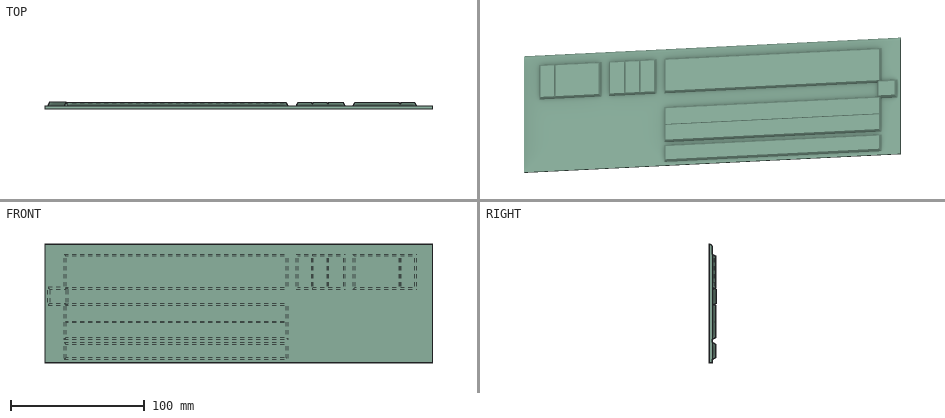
import cadquery as cq
import math

PLATE_LENGTH = 289.95
PLATE_HEIGHT = 88.9
PLATE_THICKNESS = 2.54

TOTAL_DEPTH = 5.59
MARKER_RELIEF = TOTAL_DEPTH - PLATE_THICKNESS
PAD_RELIEF = 2.54
SIDE_LEAN = 29

MARKER_SPAN_X = (2.1, 17.5)
MARKER_SPAN_Z = (32.2, 46.0)
LONG_SPAN_X = (14.5, 181.8)
LONG_ROWS_Z = [(7.7, 34.0), (44.6, 59.4), (57.2, 71.3), (73.5, 86.3)]
SHORT_ROW_Z = LONG_ROWS_Z[0]
SHORT_SPANS_X = [
    (187.8, 200.8),
    (199.2, 212.4),
    (210.8, 224.5),
    (230.3, 266.3),
    (264.9, 277.9),
]


def tapered_pad(span_x, span_z, relief):
    """Rectangular pad on the back face whose four sides lean inward."""
    inset = relief * math.tan(math.radians(SIDE_LEAN))
    width = span_x[1] - span_x[0]
    height = span_z[1] - span_z[0]
    center_x = sum(span_x) / 2 - PLATE_LENGTH / 2
    center_z = PLATE_HEIGHT / 2 - sum(span_z) / 2
    return (
        cq.Workplane("XZ", origin=(center_x, PLATE_THICKNESS, center_z))
        .rect(width, height)
        .workplane(offset=-relief)
        .rect(width - 2 * inset, height - 2 * inset)
        .loft(ruled=True)
    )


def plate():
    """Plate centred on X and Z, its top back edge a quarter round as deep as the plate."""
    bottom = -PLATE_HEIGHT / 2
    top = PLATE_HEIGHT / 2
    round_start = top - PLATE_THICKNESS
    arc_reach = PLATE_THICKNESS * math.sqrt(0.5)
    return (
        cq.Workplane("YZ", origin=(-PLATE_LENGTH / 2, 0, 0))
        .moveTo(0, bottom)
        .lineTo(PLATE_THICKNESS, bottom)
        .lineTo(PLATE_THICKNESS, round_start)
        .threePointArc((arc_reach, round_start + arc_reach), (0, top))
        .close()
        .extrude(PLATE_LENGTH)
    )


result = plate()

for row_z in LONG_ROWS_Z:
    result = result.union(tapered_pad(LONG_SPAN_X, row_z, PAD_RELIEF))

for pad_x in SHORT_SPANS_X:
    result = result.union(tapered_pad(pad_x, SHORT_ROW_Z, PAD_RELIEF))

result = result.union(tapered_pad(MARKER_SPAN_X, MARKER_SPAN_Z, MARKER_RELIEF))